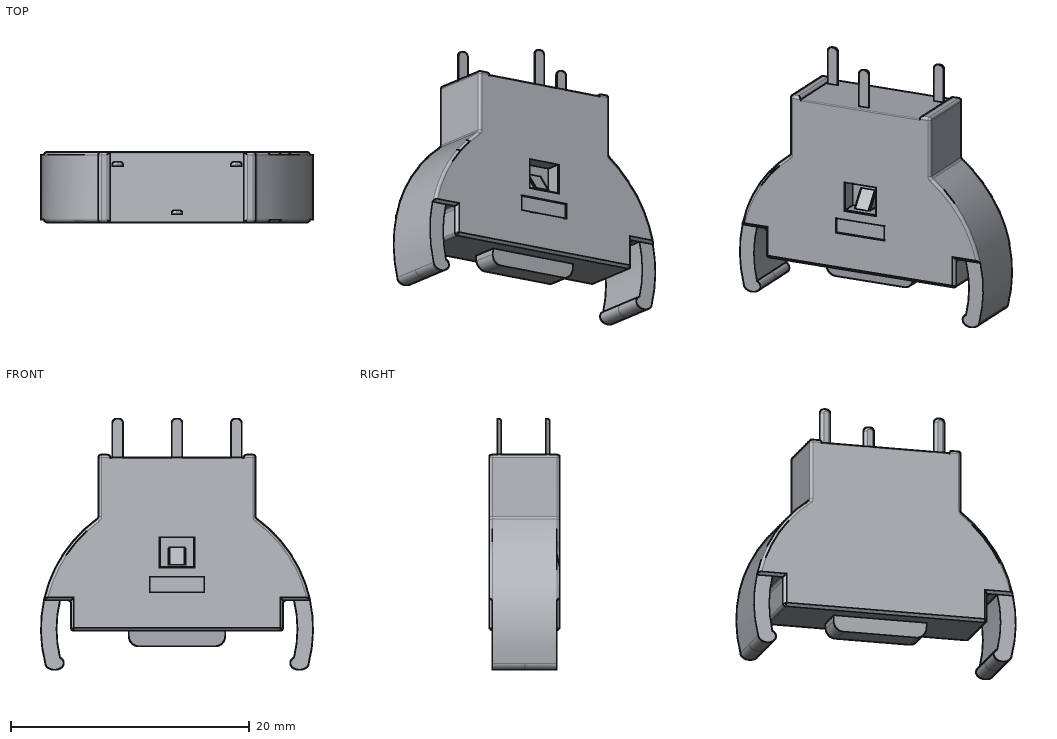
import cadquery as cq
import math

depth = 5.95
edge_size = 0.25

overlap = 0.1
edge_search = 0.01

neck_half_width = 6.6
housing_height = 14.8
dome_radius = 11.43
dome_centre_z = 0.15
ledge_z = 2.55
base_half_width = 8.9

recess_half_width = 5.59
recess_depth = 0.25
lip_radius = 0.3
recess_edge_radius = 0.08

arm_depth = depth - 2 * edge_size
arm_inner_radius = 10.1
hook_half_height = 0.575
arm_bottom_z = -3.28
arm_tip_z = arm_bottom_z + hook_half_height
hook_inner_x = 9.495

window_width = 3.0
window_bottom_z = 5.3
window_top_z = 7.85
window_depth = 1.5
window_edge_size = 0.08
label_width = 4.55
label_height = 1.3
label_z = 3.9
label_depth = 0.2

latch_width = 1.45
latch_bottom_z = 5.55
latch_top_z = 7.03
latch_reach = 1.2
latch_edge_size = 0.1

button_width = 8.1
button_height = 1.3
button_depth = 2.6
button_corner_radius = 0.85
button_draft_angle = 8

pin_width = 0.92
pin_thickness = 0.35
pin_top_z = 17.82
pin_tip_radius = 0.4
pin_back_radius = 0.25
pin_pitch = 4.98
rear_pin_front_y = 1.78
front_pin_front_y = -2.29

front_y = -depth / 2
window_back_y = front_y + window_depth
floor_z = housing_height - recess_depth


def dome_z(x):
    """Height of the dome circle at the distance x from the middle."""
    return dome_centre_z + math.sqrt(dome_radius**2 - x**2)


def circle_x(radius, z):
    """Distance from the middle to a circle around the dome centre at the height z."""
    return math.sqrt(radius**2 - (z - dome_centre_z) ** 2)


def box(x_min, x_max, y_min, y_max, z_min, z_max):
    """Block between the given limits."""
    block = cq.Workplane("XY").box(x_max - x_min, y_max - y_min, z_max - z_min, centered=False)
    return block.translate((x_min, y_min, z_min))


def extrude_along_y(sketch, thickness):
    """Extrude an XZ sketch by the thickness, centred on Y = 0."""
    return sketch.extrude(thickness / 2, both=True)


def frustum(outer_rectangle, inner_rectangle, outer_y, inner_y):
    """Solid between two upright rectangles given as (x half width, z min, z max)."""
    wires = []
    for (half_width, z_min, z_max), y in ((outer_rectangle, outer_y), (inner_rectangle, inner_y)):
        corners = [(-half_width, z_min), (half_width, z_min), (half_width, z_max), (-half_width, z_max)]
        wires.append(cq.Wire.makePolygon([cq.Vector(x, y, z) for x, z in corners], close=True))
    return cq.Workplane(obj=cq.Solid.makeLoft(wires, True))


def edges_near(x, z):
    """Selector for an edge along Y at the given point of the XZ plane."""
    return cq.selectors.BoxSelector(
        (x - edge_search, -depth, z - edge_search), (x + edge_search, depth, z + edge_search)
    )


def make_upper_form():
    """Neck and dome with rounded edges, carried on below the housing bottom."""
    bottom_x = circle_x(dome_radius, -overlap)
    middle_x = (neck_half_width + bottom_x) / 2
    neck_z = dome_z(neck_half_width)
    sketch = (
        cq.Workplane("XZ")
        .moveTo(-bottom_x, -overlap)
        .lineTo(bottom_x, -overlap)
        .threePointArc((middle_x, dome_z(middle_x)), (neck_half_width, neck_z))
        .lineTo(neck_half_width, housing_height)
        .lineTo(-neck_half_width, housing_height)
        .lineTo(-neck_half_width, neck_z)
        .threePointArc((-middle_x, dome_z(middle_x)), (-bottom_x, -overlap))
        .close()
    )
    form = extrude_along_y(sketch, depth)
    for x in (-neck_half_width, neck_half_width):
        form = form.edges(edges_near(x, neck_z)).fillet(edge_size)
    rounded = form.faces("<Y or >Y").edges("not <Z").add(form.faces(">Z").edges("|Y"))
    return rounded.fillet(edge_size)


def make_lower_form():
    """Base and ledges with chamfered edges, open above to the full width of the dome."""
    outer_x = dome_radius + overlap
    top_z = housing_height + overlap
    sketch = cq.Workplane("XZ").polyline(
        [
            (-base_half_width, 0),
            (base_half_width, 0),
            (base_half_width, ledge_z),
            (outer_x, ledge_z),
            (outer_x, top_z),
            (-outer_x, top_z),
            (-outer_x, ledge_z),
            (-base_half_width, ledge_z),
        ]
    ).close()
    form = extrude_along_y(sketch, depth)
    for x in (-base_half_width, base_half_width):
        form = form.edges(edges_near(x, 0)).fillet(edge_size)
    lower = cq.selectors.BoxSelector(
        (-outer_x - overlap, -depth, -overlap), (outer_x + overlap, depth, ledge_z + overlap)
    )
    return form.faces("<Y or >Y").edges(lower).chamfer(edge_size)


def make_corner_web():
    """Concave fillet in the right-hand corner between the base and the ledge."""
    sketch = (
        cq.Workplane("XZ")
        .moveTo(base_half_width - overlap, ledge_z - edge_size)
        .lineTo(base_half_width, ledge_z - edge_size)
        .radiusArc((base_half_width + edge_size, ledge_z), edge_size)
        .lineTo(base_half_width + edge_size, ledge_z + overlap)
        .lineTo(base_half_width - overlap, ledge_z + overlap)
        .close()
    )
    return extrude_along_y(sketch, arm_depth)


def make_arm():
    """Right-hand spring arm: a band along the dome circle that ends in a rounded hook."""
    root_z = ledge_z + overlap
    root_outer_x = circle_x(dome_radius, root_z)
    root_inner_x = circle_x(arm_inner_radius, root_z)
    tip_outer_x = circle_x(dome_radius, arm_tip_z)
    tip_inner_x = circle_x(arm_inner_radius, arm_tip_z)
    band = extrude_along_y(
        cq.Workplane("XZ")
        .moveTo(root_inner_x, root_z)
        .lineTo(root_outer_x, root_z)
        .threePointArc((dome_radius, dome_centre_z), (tip_outer_x, arm_tip_z))
        .lineTo(tip_inner_x, arm_tip_z)
        .threePointArc((arm_inner_radius, dome_centre_z), (root_inner_x, root_z))
        .close(),
        arm_depth,
    )
    hook_length = tip_outer_x - hook_inner_x
    hook = extrude_along_y(
        cq.Workplane("XZ", origin=((tip_outer_x + hook_inner_x) / 2, 0, arm_tip_z))
        .ellipse(hook_length / 2, hook_half_height),
        arm_depth,
    )
    return band.union(hook)


def make_top_recess():
    """Cutter for the shallow recess between the lips, with the lip edges rounded over."""
    lip_flat_x = recess_half_width + math.sqrt(lip_radius**2 - (lip_radius - recess_depth) ** 2)
    sketch = (
        cq.Workplane("XZ")
        .moveTo(-recess_half_width, floor_z)
        .lineTo(recess_half_width, floor_z)
        .radiusArc((lip_flat_x, housing_height), lip_radius)
        .lineTo(lip_flat_x, housing_height + overlap)
        .lineTo(-lip_flat_x, housing_height + overlap)
        .lineTo(-lip_flat_x, housing_height)
        .radiusArc((-recess_half_width, floor_z), lip_radius)
        .close()
    )
    return extrude_along_y(sketch, depth + overlap)


def make_floor_edge_rounding():
    """Cutter that rounds the front edge of the recess floor between the lips."""
    return (
        cq.Workplane("YZ")
        .moveTo(front_y, floor_z - recess_edge_radius)
        .radiusArc((front_y + recess_edge_radius, floor_z), recess_edge_radius)
        .lineTo(front_y + recess_edge_radius, floor_z + overlap)
        .lineTo(front_y - overlap, floor_z + overlap)
        .lineTo(front_y - overlap, floor_z - recess_edge_radius)
        .close()
        .extrude(recess_half_width, both=True)
    )


def make_window():
    """Cutter for the window in the front face, with the side and lower edges broken."""
    half_width = window_width / 2
    inner_half_width = half_width - window_edge_size
    inner_bottom_z = window_bottom_z + window_edge_size
    opening = frustum(
        (half_width, window_bottom_z, window_top_z),
        (inner_half_width, inner_bottom_z, window_top_z),
        front_y,
        front_y + window_edge_size,
    )
    pocket = box(
        -inner_half_width, inner_half_width, front_y, window_back_y, inner_bottom_z, window_top_z
    )
    return opening.union(pocket)


def make_label_recess():
    """Cutter for the shallow rectangular recess under the window."""
    return box(
        -label_width / 2,
        label_width / 2,
        front_y,
        front_y + label_depth,
        label_z - label_height / 2,
        label_z + label_height / 2,
    )


def make_housing():
    """Housing with both spring arms, as one solid."""
    housing = make_upper_form().intersect(make_lower_form())
    for side_part in (make_arm(), make_corner_web()):
        housing = housing.union(side_part).union(side_part.mirror("YZ"))
    front_rounding = make_floor_edge_rounding()
    back_rounding = front_rounding.mirror("XZ")
    cutters = (make_top_recess(), front_rounding, back_rounding, make_window(), make_label_recess())
    for cutter in cutters:
        housing = housing.cut(cutter)
    return housing


def make_latch():
    """Wedge on the back wall of the window, reaching furthest at its lower edge."""
    tip_y = window_back_y - latch_reach
    wedge = (
        cq.Workplane("YZ")
        .moveTo(window_back_y, latch_bottom_z)
        .lineTo(tip_y, latch_bottom_z)
        .lineTo(window_back_y, latch_top_z)
        .close()
        .extrude(latch_width / 2, both=True)
    )
    sloping_edges = wedge.faces("<X or >X").edges("not |Y").edges("not |Z")
    return sloping_edges.chamfer(latch_edge_size)


def make_button():
    """Button under the housing, with round lower corners and drafted front and back faces."""
    sketch = cq.Workplane("XZ", origin=(0, 0, -button_height / 2)).rect(button_width, button_height)
    button = extrude_along_y(sketch, button_depth)
    button = button.faces("<Z").edges("|Y").fillet(button_corner_radius)
    bottom_half_depth = button_depth / 2 - button_height * math.tan(math.radians(button_draft_angle))
    draft = (
        cq.Workplane("YZ")
        .polyline(
            [
                (-button_depth / 2, 0),
                (button_depth / 2, 0),
                (bottom_half_depth, -button_height),
                (-bottom_half_depth, -button_height),
            ]
        )
        .close()
        .extrude(button_width, both=True)
    )
    return button.intersect(draft)


def make_pin(x, pin_front_y):
    """Flat terminal pin on the recess floor, with a round tip and rounded back edges."""
    pin = box(
        x - pin_width / 2,
        x + pin_width / 2,
        pin_front_y,
        pin_front_y + pin_thickness,
        floor_z,
        pin_top_z,
    )
    pin = pin.faces(">Z").edges("|Y").fillet(pin_tip_radius)
    return pin.faces(">Y").edges("not <Z").fillet(pin_back_radius)


housing = make_housing()
latch = make_latch()
button = make_button()
pin_places = [(-pin_pitch, rear_pin_front_y), (0, front_pin_front_y), (pin_pitch, rear_pin_front_y)]
pins = [make_pin(x, pin_front_y) for x, pin_front_y in pin_places]

bodies = [housing, latch, button, *pins]
result = cq.Compound.makeCompound([body.solids().val() for body in bodies])